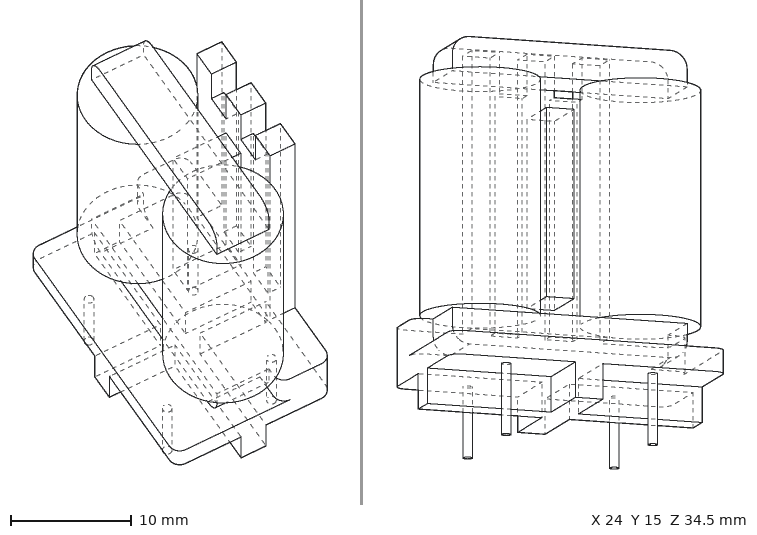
import cadquery as cq

BASE_WIDTH = 24.0
BASE_DEPTH = 15.0
BASE_CORNER_RADIUS = 1.0

FEET_BOTTOM = 3.0
BASE_BOTTOM = 6.0
BASE_TOP = 8.0
SHELF_TOP = 11.0
COIL_TOP = 31.0
FRAME_TOP = 34.5

FOOT_WIDTH = 2.4
PIN_DIAMETER = 0.8
PIN_SPACING_X = 12.8
PIN_SPACING_Y = 10.0

COIL_DIAMETER = 10.0
COIL_SPACING = BASE_WIDTH - COIL_DIAMETER
YOKE_LENGTH = 20.5
YOKE_DEPTH = 5.0
YOKE_HEIGHT = 3.0
YOKE_CORNER_RADIUS = 1.5

POST_SIZE = 2.4
POST_SPACING = 4.8
POST_COUNT = 3
WEB_TOP = COIL_TOP
WEB_BACK_INSET = 1.2
SPACER_END_GAP = 2.0

BACK_Y = BASE_DEPTH / 2
YOKE_BACK_Y = YOKE_DEPTH / 2
POST_FRONT_Y = BACK_Y - POST_SIZE
SPACER_FRONT_Y = 0.0
FRAME_WIDTH = (POST_COUNT - 1) * POST_SPACING + POST_SIZE
SPACER_BOTTOM = SHELF_TOP + SPACER_END_GAP
SPACER_TOP = COIL_TOP - SPACER_END_GAP


def block(width, y_range, z_range, x_center=0.0):
    """Box centred on x_center that fills the given Y and Z ranges."""
    y_front, y_back = y_range
    z_bottom, z_top = z_range
    return (
        cq.Workplane("XY", origin=(x_center, (y_front + y_back) / 2, z_bottom))
        .rect(width, y_back - y_front)
        .extrude(z_top - z_bottom)
    )


def make_base():
    """Rounded base plate with a raised shelf along its back."""
    plate = block(BASE_WIDTH, (-BACK_Y, BACK_Y), (BASE_BOTTOM, BASE_TOP))
    shelf = block(BASE_WIDTH, (YOKE_BACK_Y, BACK_Y), (BASE_BOTTOM, SHELF_TOP))
    plate = plate.edges("|Z").fillet(BASE_CORNER_RADIUS)
    shelf = shelf.edges("|Z").fillet(BASE_CORNER_RADIUS)
    return plate.union(shelf)


def make_feet():
    """Two crossed bars under the base."""
    heights = (FEET_BOTTOM, BASE_BOTTOM)
    along_x = block(BASE_WIDTH, (-FOOT_WIDTH / 2, FOOT_WIDTH / 2), heights)
    along_y = block(FOOT_WIDTH, (-BACK_Y, BACK_Y), heights)
    return along_x.union(along_y)


def make_pins():
    """Four round pins reaching from the base down to Z = 0."""
    return (
        cq.Workplane("XY")
        .rarray(PIN_SPACING_X, PIN_SPACING_Y, 2, 2)
        .circle(PIN_DIAMETER / 2)
        .extrude(BASE_BOTTOM)
    )


def make_coils():
    """Two upright coils side by side."""
    return (
        cq.Workplane("XY", origin=(0, 0, SHELF_TOP))
        .rarray(COIL_SPACING, 1, 2, 1)
        .circle(COIL_DIAMETER / 2)
        .extrude(COIL_TOP - SHELF_TOP)
    )


def make_yoke(z_bottom, rounded_side):
    """Core bar across the coils, with its two outer end edges rounded."""
    yoke = block(YOKE_LENGTH, (-YOKE_BACK_Y, YOKE_BACK_Y), (z_bottom, z_bottom + YOKE_HEIGHT))
    return yoke.faces(rounded_side).edges("|Y").fillet(YOKE_CORNER_RADIUS)


def make_frame():
    """Posts joined by a web, with a spacer between the coils."""
    web = block(FRAME_WIDTH, (POST_FRONT_Y, BACK_Y - WEB_BACK_INSET), (SHELF_TOP, WEB_TOP))
    spacer = block(POST_SIZE, (SPACER_FRONT_Y, POST_FRONT_Y), (SPACER_BOTTOM, SPACER_TOP))
    frame = web.union(spacer)
    for index in range(POST_COUNT):
        x_center = (index - (POST_COUNT - 1) / 2) * POST_SPACING
        post = block(POST_SIZE, (POST_FRONT_Y, BACK_Y), (SHELF_TOP, FRAME_TOP), x_center)
        frame = frame.union(post)
    return frame


lower_yoke = make_yoke(BASE_TOP, "<Z")
upper_yoke = make_yoke(COIL_TOP, ">Z")

result = (
    make_base()
    .union(make_feet())
    .union(make_pins())
    .union(lower_yoke)
    .union(make_coils())
    .union(upper_yoke)
    .union(make_frame())
)